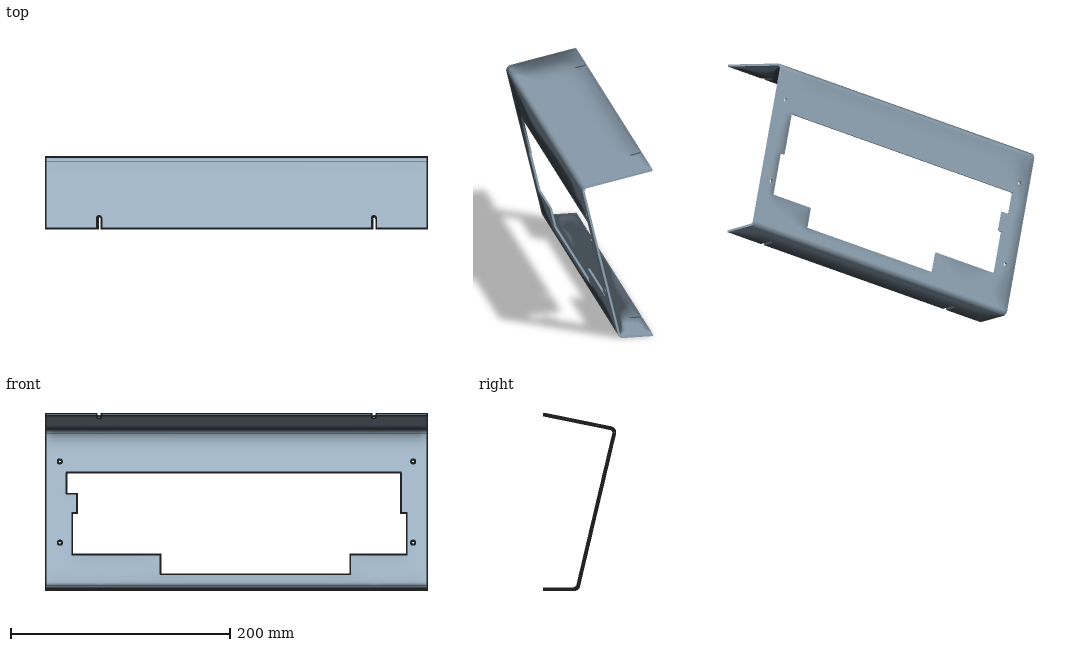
import cadquery as cq
import math

length = 348.0
depth = 65.5
height = 161.0
thickness = 2.0
inner_radius = 3.0
outer_radius = inner_radius + thickness
cut_reach = 2 * thickness
web_lean = math.radians(13.3)
flange_slope = math.radians(11.5)

slot_radius = 2.0
slot_depth = 11.5
upper_slot_centres = (-125.3, 125.3)
lower_slot_shift = 1.0

hole_diameter = 4.0
hole_offset_x = 161.0
hole_heights = (43.5, 117.5)

window_top = 107.5
left_notch_height = 88.0
side_step_height = 70.5
shoulder_height = 32.7
window_bottom = 14.5
upper_left_x = -155.0
left_tab_x = -145.5
lower_left_x = -149.5
upper_right_x = 150.0
lower_right_x = 155.2
bottom_left_x = -69.3
bottom_right_x = 103.7

bend_y = depth - outer_radius
free_edge_y = thickness * math.sin(flange_slope)
bend_z = (
    height
    - (bend_y - free_edge_y) * math.tan(flange_slope)
    - outer_radius / math.cos(flange_slope)
)


def web_y(z, bend_offset):
    """Y of the web face lying bend_offset outside the upper bend centre."""
    return bend_y + bend_offset / math.cos(web_lean) + (z - bend_z) * math.tan(web_lean)


def upper_corner(bend_offset):
    """Sharp corner where the web face meets the matching flange face."""
    flange_z_at_bend = bend_z + bend_offset / math.cos(flange_slope)
    slope = math.tan(flange_slope)
    lean = math.tan(web_lean)
    y_at_bend = web_y(flange_z_at_bend, bend_offset)
    rise = -slope * (y_at_bend - bend_y) / (1 + slope * lean)
    return (y_at_bend + rise * lean, flange_z_at_bend + rise)


def bent_sheet():
    outer_lower = (web_y(0, outer_radius), 0)
    inner_lower = (web_y(thickness, inner_radius), thickness)
    outer_upper = upper_corner(outer_radius)
    inner_upper = upper_corner(inner_radius)
    inner_free_edge_z = height - thickness * math.cos(flange_slope)
    profile = [
        (0, 0),
        outer_lower,
        outer_upper,
        (free_edge_y, height),
        (0, inner_free_edge_z),
        inner_upper,
        inner_lower,
        (0, thickness),
    ]
    sheet = cq.Workplane("YZ").polyline(profile).close().extrude(length / 2, both=True)

    def round_bend(body, corner, radius):
        selector = cq.selectors.NearestToPointSelector((0, *corner))
        return body.edges("|X").edges(selector).fillet(radius)

    for corner in (outer_lower, outer_upper):
        sheet = round_bend(sheet, corner, outer_radius)
    for corner in (inner_lower, inner_upper):
        sheet = round_bend(sheet, corner, inner_radius)
    return sheet


def edge_slots(plane, centres):
    """Slots running inward from the free edge along the plane's local Y."""
    straight_depth = slot_depth - slot_radius
    cutters = cq.Workplane(plane)
    for x in centres:
        cutters = (
            cutters.moveTo(x - slot_radius, -slot_depth)
            .lineTo(x + slot_radius, -slot_depth)
            .lineTo(x + slot_radius, straight_depth)
            .threePointArc((x, slot_depth), (x - slot_radius, straight_depth))
            .close()
        )
    return cutters.extrude(cut_reach, both=True)


def web_cutters():
    """Window and screw holes, cut square to the leaning web."""
    plane = cq.Plane(
        origin=(0, web_y(0, inner_radius), 0),
        xDir=(1, 0, 0),
        normal=(0, -math.cos(web_lean), math.sin(web_lean)),
    )

    def on_web(x, z):
        return (x, z / math.cos(web_lean))

    window_outline = [
        (upper_left_x, window_top),
        (upper_right_x, window_top),
        (upper_right_x, side_step_height),
        (lower_right_x, side_step_height),
        (lower_right_x, shoulder_height),
        (bottom_right_x, shoulder_height),
        (bottom_right_x, window_bottom),
        (bottom_left_x, window_bottom),
        (bottom_left_x, shoulder_height),
        (lower_left_x, shoulder_height),
        (lower_left_x, side_step_height),
        (left_tab_x, side_step_height),
        (left_tab_x, left_notch_height),
        (upper_left_x, left_notch_height),
    ]
    window = (
        cq.Workplane(plane)
        .polyline([on_web(x, z) for x, z in window_outline])
        .close()
        .extrude(cut_reach, both=True)
    )
    hole_points = [on_web(side * hole_offset_x, z) for side in (-1, 1) for z in hole_heights]
    holes = (
        cq.Workplane(plane)
        .pushPoints(hole_points)
        .circle(hole_diameter / 2)
        .extrude(cut_reach, both=True)
    )
    return window.union(holes)


upper_flange_plane = cq.Plane(
    origin=(0, free_edge_y, height),
    xDir=(1, 0, 0),
    normal=(0, math.sin(flange_slope), math.cos(flange_slope)),
)
lower_slot_centres = [x + lower_slot_shift for x in upper_slot_centres]

result = (
    bent_sheet()
    .cut(edge_slots(upper_flange_plane, upper_slot_centres))
    .cut(edge_slots("XY", lower_slot_centres))
    .cut(web_cutters())
)